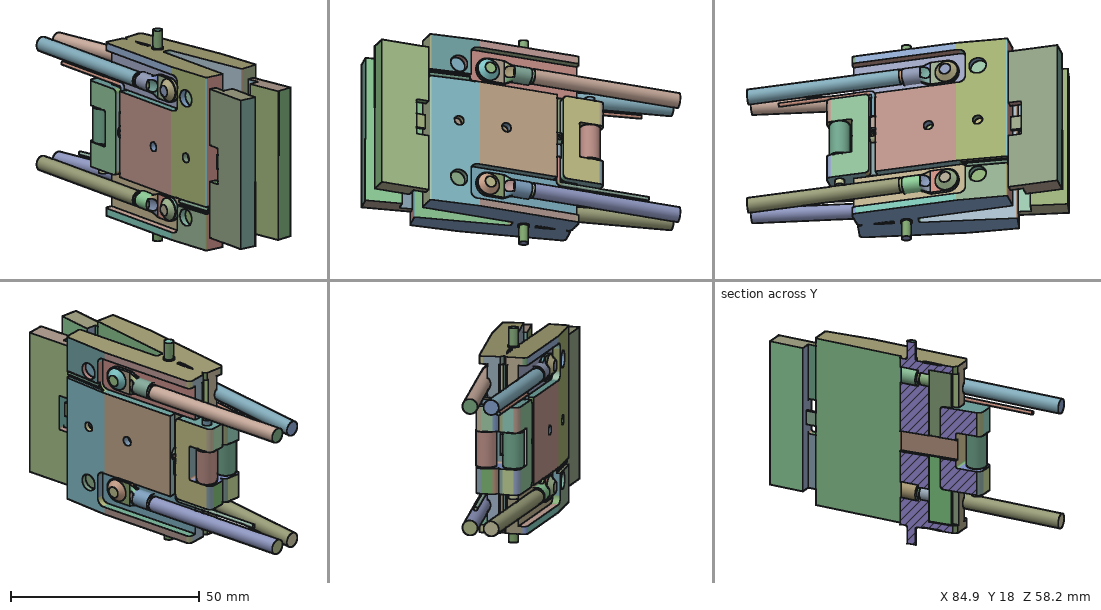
import cadquery as cq
import math

TILT = 5.0
SIN = math.sin(math.radians(TILT))
COS = math.cos(math.radians(TILT))

OVERRUN = 0.85

BODY_HALF_HEIGHT = 24.0
BODY_HALF_THICKNESS = 9.0
BODY_LEFT = -13.1
BODY_RIGHT = 29.5
BEND_X = 15.0
OUTER_V = BEND_X * SIN - BODY_HALF_THICKNESS * COS
INNER_V = -0.85
SLOT_END_X = 3.3
LEFT_CORNER_RADIUS = 1.1
RIGHT_CORNER_RADIUS = 0.3
SLOT_CORNER_RADIUS = 0.5

POCKET_FLOOR_V = -5.35
POCKET_INNER_Z = 11.9
POCKET_OUTER_Z = 21.8
POCKET_RIGHT = 18.2
POCKET_RADIUS = 1.9
POCKET_WIDTH = POCKET_OUTER_Z - POCKET_INNER_Z

CABLE_Z = 16.5
CABLE_V = -6.55
CABLE_RADIUS = 2.0
CABLE_END_X = -42.15
CABLE_RIGHT = 0.2
CRIMP_LEFT = 0.9
CRIMP_RIGHT = 5.9
CRIMP_V = -6.0
CRIMP_RADIUS = 2.3
CORE_RADIUS = 1.9
LUG_LEFT = 8.25
LUG_WIDTH = 6.55
LUG_THICKNESS = 0.9
LUG_SCOOP_RADIUS = 3.2
BOLT_U = 12.7
BOLT_RADIUS = 3.1
BOLT_TIP_RADIUS = 1.5
BOLT_HEIGHT = 1.45

SCREW_HOLE_U = 21.5
SCREW_HOLE_RADIUS = 2.3
MIDDLE_HOLES_U = (8.1, SCREW_HOLE_U)
MIDDLE_HOLE_RADIUS = 1.3
HOLE_FLOOR_V = -5.5

FORK_LEFT = -20.1
FORK_RIGHT = -8.25
FORK_NOSE_RADIUS = 1.45
FORK_CORNER_RADIUS = 1.1
WINDOW_HALF_HEIGHT = 5.0
WINDOW_RIGHT = -12.9
WINDOW_RADIUS = 0.5
ROLLER_U = -16.9
ROLLER_V = -5.2
ROLLER_RADIUS = 2.8
ROLLER_CHAMFER = 0.25
AXLE_RADIUS = 1.3
AXLE_BOTTOM = -13.4

GROOVE_RIGHT = -6.5
GROOVE_FLOOR_V = -5.6
WIRE_V = -6.0
WIRE_Z = 13.1
WIRE_RADIUS = 0.5
WIRE_LEFT = -33.4
WIRE_U = -7.5
WIRE_BEND_RADIUS = 0.85
SLEEVE_RADIUS = 0.81
SLEEVE_TOP = 5.5
SLEEVE_BOTTOM = 1.95
SENSOR_RADIUS = SLEEVE_BOTTOM
SENSOR_V = -5.1
SENSOR_HOLE_RADIUS = 0.7
SENSOR_HOLE_FLOOR_V = -5.95

CHANNEL_TOP = -POCKET_INNER_Z
CHANNEL_BOTTOM = -13.85
CHANNEL_DEPTH = 1.0
CHANNEL_FLOOR_Y = CHANNEL_DEPTH - BODY_HALF_THICKNESS

INSERT_RIGHT = 42.9
INSERT_HEIGHT = 41.2
INSERT_HALF_HEIGHT = INSERT_HEIGHT / 2
INSERT_OUTER_V = -5.3
NECK_INNER_V = -3.3
HEAD_LEFT = 33.0
HEAD_INNER_V = -0.3
INSERT_EMBEDDED = 1.7
INSERT_ROOT = BODY_RIGHT - INSERT_EMBEDDED
TONGUE_OUTER_V = -2.9
TONGUE_INNER_V = -2.2
TONGUE_HALF_HEIGHT = 1.95
CONTACT_TIP_X = 42.8
CONTACT_INNER_Z = 2.9
CONTACT_THICKNESS = 0.25

PIN_RADIUS = 1.3
PIN_SPAN = 58.2
PIN_TOP = PIN_SPAN / 2
COLLAR_RADIUS = 1.5
COLLAR_HEIGHT = 0.25

GAP_HALF_HEIGHT = 21.75
GAP_MOUTH_WIDTH = 2.4
GAP_MOUTH_RIGHT = -11.5
GAP_WIDTH = 0.7
GAP_RIGHT = -5.1
PASSAGE_WIDTH = 1.7
NOTCH_TIP_X = -12.1
NOTCH_HALF_WIDTH = 1.2

ARROW_TIP_X = -8.7
ARROW_HEAD_X = -5.35
ARROW_TAIL_X = -3.4
ARROW_HALF_WIDTH = 0.4
ARROW_DEPTH = 0.25


def tilted(u, v):
    """Part x, y of a point given along and across the front half."""
    return (u * COS + v * SIN, v * COS - u * SIN)


def block(u_range, v_range, z_range):
    """Box between the given limits."""
    (u0, u1), (v0, v1), (z0, z1) = u_range, v_range, z_range
    return cq.Workplane("XY").box(u1 - u0, v1 - v0, z1 - z0, centered=False).translate((u0, v0, z0))


def rod_along(u0, u1, v, z, radius):
    """Cylinder running along u."""
    return cq.Workplane("YZ", origin=(u0, v, z)).circle(radius).extrude(u1 - u0)


def upright(u, v, z0, z1, radius):
    """Cylinder running along z."""
    return cq.Workplane("XY", origin=(u, v, z0)).circle(radius).extrude(z1 - z0)


def outward(u, z, v, length, radius):
    """Cylinder starting at v and running outward."""
    return cq.Workplane("XZ", origin=(u, v, z)).circle(radius).extrude(length)


def turned_over(shape):
    """Copy given a half turn about X."""
    return shape.rotate((0, 0, 0), (1, 0, 0), 180)


def body_half():
    outer_y = -BODY_HALF_THICKNESS
    left_corner = tilted(BODY_LEFT, OUTER_V)
    right_corner = ((BODY_RIGHT + outer_y * SIN) / COS, outer_y)
    tip_corner = tilted(BODY_RIGHT, INNER_V)
    slot_corner = (SLOT_END_X, (INNER_V - SLOT_END_X * SIN) / COS)
    outline = [
        (BODY_LEFT / COS, 0),
        left_corner,
        (BEND_X, outer_y),
        right_corner,
        tip_corner,
        slot_corner,
        (SLOT_END_X, 0),
    ]
    body = cq.Workplane("XY", origin=(0, 0, -BODY_HALF_HEIGHT)).polyline(outline).close()
    body = body.extrude(2 * BODY_HALF_HEIGHT)
    rounded = [
        (left_corner, LEFT_CORNER_RADIUS),
        (right_corner, RIGHT_CORNER_RADIUS),
        (tip_corner, RIGHT_CORNER_RADIUS),
        (slot_corner, SLOT_CORNER_RADIUS),
    ]
    for (x, y), radius in rounded:
        body = body.edges(cq.selectors.NearestToPointSelector((x, y, 0))).fillet(radius)
    return body


def body_cuts():
    beyond = 2 * OUTER_V
    pocket_left = BODY_LEFT - POCKET_WIDTH
    cuts = block(
        (FORK_RIGHT - FORK_CORNER_RADIUS, GROOVE_RIGHT),
        (beyond, GROOVE_FLOOR_V),
        (-POCKET_INNER_Z, POCKET_INNER_Z),
    )
    for side in (-1, 1):
        pocket_z = side * (POCKET_INNER_Z + POCKET_OUTER_Z) / 2
        pocket = block(
            (pocket_left, POCKET_RIGHT),
            (beyond, POCKET_FLOOR_V),
            (pocket_z - POCKET_WIDTH / 2, pocket_z + POCKET_WIDTH / 2),
        )
        cuts = cuts.union(pocket.edges("|Y and >X").fillet(POCKET_RADIUS))
        cuts = cuts.union(outward(SCREW_HOLE_U, side * CABLE_Z, HOLE_FLOOR_V, -OUTER_V, SCREW_HOLE_RADIUS))
    for u in MIDDLE_HOLES_U:
        cuts = cuts.union(outward(u, 0, HOLE_FLOOR_V, -OUTER_V, MIDDLE_HOLE_RADIUS))
    return cuts


def cable(z):
    """Cable, crimp, lug and bolt at height z."""
    lug_outer_v = POCKET_FLOOR_V - LUG_THICKNESS
    lug_middle_v = POCKET_FLOOR_V - LUG_THICKNESS / 2
    wire = rod_along(CABLE_END_X - CABLE_RADIUS, CABLE_RIGHT, CABLE_V, z, CABLE_RADIUS)
    core = rod_along(CABLE_RIGHT, CRIMP_LEFT, CABLE_V, z, CORE_RADIUS)
    crimp = rod_along(CRIMP_LEFT, CRIMP_RIGHT, CRIMP_V, z, CRIMP_RADIUS)
    flare = (
        cq.Workplane("YZ", origin=(CRIMP_RIGHT, CRIMP_V, z))
        .circle(CRIMP_RADIUS)
        .workplane(offset=LUG_LEFT - CRIMP_RIGHT)
        .center(lug_middle_v - CRIMP_V, 0)
        .rect(LUG_THICKNESS, LUG_WIDTH)
        .loft()
    )
    scoop_center = (LUG_LEFT, lug_outer_v - LUG_SCOOP_RADIUS, z)
    scoop = cq.Workplane("XY", origin=scoop_center).sphere(LUG_SCOOP_RADIUS)
    flare = flare.cut(scoop)
    lug = block(
        (LUG_LEFT, BOLT_U), (lug_outer_v, POCKET_FLOOR_V), (z - LUG_WIDTH / 2, z + LUG_WIDTH / 2)
    ).union(outward(BOLT_U, z, POCKET_FLOOR_V, LUG_THICKNESS, LUG_WIDTH / 2))
    bolt = (
        cq.Workplane("XZ", origin=(BOLT_U, lug_outer_v, z))
        .circle(BOLT_RADIUS)
        .workplane(offset=BOLT_HEIGHT)
        .circle(BOLT_TIP_RADIUS)
        .loft()
    )
    return wire.union(core).union(crimp).union(flare).union(lug).union(bolt)


def fork():
    nose_outer = tilted(FORK_LEFT, OUTER_V)
    nose_inner = (FORK_LEFT / COS, 0)
    outline = [nose_outer, tilted(FORK_RIGHT, OUTER_V), (FORK_RIGHT / COS, 0), nose_inner]
    plate = cq.Workplane("XY", origin=(0, 0, -POCKET_INNER_Z)).polyline(outline).close()
    plate = plate.extrude(2 * POCKET_INNER_Z)
    for x, y in (nose_outer, nose_inner):
        plate = plate.edges(cq.selectors.NearestToPointSelector((x, y, 0))).fillet(FORK_NOSE_RADIUS)
    for side in (-1, 1):
        corner = (*tilted(FORK_RIGHT, OUTER_V / 2), side * POCKET_INNER_Z)
        plate = plate.edges(cq.selectors.NearestToPointSelector(corner)).fillet(FORK_CORNER_RADIUS)
    return plate


def fork_window():
    window = block(
        (2 * FORK_LEFT, WINDOW_RIGHT), (2 * OUTER_V, 0), (-WINDOW_HALF_HEIGHT, WINDOW_HALF_HEIGHT)
    )
    return window.edges("|Y and >X").fillet(WINDOW_RADIUS)


def roller():
    drum = upright(ROLLER_U, ROLLER_V, -WINDOW_HALF_HEIGHT, WINDOW_HALF_HEIGHT, ROLLER_RADIUS)
    drum = drum.faces("|Z").edges().chamfer(ROLLER_CHAMFER)
    return drum.union(upright(ROLLER_U, ROLLER_V, AXLE_BOTTOM, POCKET_INNER_Z, AXLE_RADIUS))


def sensor_wire():
    path = (
        cq.Workplane("XZ", origin=(0, WIRE_V, 0))
        .moveTo(WIRE_LEFT, WIRE_Z)
        .lineTo(WIRE_U - WIRE_BEND_RADIUS, WIRE_Z)
        .radiusArc((WIRE_U, WIRE_Z - WIRE_BEND_RADIUS), WIRE_BEND_RADIUS)
        .lineTo(WIRE_U, SLEEVE_TOP)
    )
    wire = cq.Workplane("YZ", origin=(WIRE_LEFT, WIRE_V, WIRE_Z)).circle(WIRE_RADIUS).sweep(path)
    return wire.union(upright(WIRE_U, WIRE_V, SLEEVE_BOTTOM, SLEEVE_TOP, SLEEVE_RADIUS))


def sensor():
    """Rounded sensor across the groove with a hole in its crest."""
    barrel = rod_along(FORK_RIGHT, GROOVE_RIGHT, SENSOR_V, 0, SENSOR_RADIUS)
    return barrel.cut(outward(WIRE_U, 0, SENSOR_HOLE_FLOOR_V, SENSOR_RADIUS, SENSOR_HOLE_RADIUS))


def side_channel():
    left = POCKET_RIGHT - POCKET_RADIUS
    return block((left, BODY_RIGHT + OVERRUN), (2 * OUTER_V, CHANNEL_FLOOR_Y), (CHANNEL_BOTTOM, CHANNEL_TOP))


def channel_wire():
    left, right = ((u + CHANNEL_FLOOR_Y * SIN) / COS for u in (POCKET_RIGHT, BODY_RIGHT))
    return rod_along(left, right, CHANNEL_FLOOR_Y, (CHANNEL_TOP + CHANNEL_BOTTOM) / 2, WIRE_RADIUS)


def jaw_insert():
    heights = (-INSERT_HALF_HEIGHT, INSERT_HALF_HEIGHT)
    neck = block((INSERT_ROOT, HEAD_LEFT), (INSERT_OUTER_V, NECK_INNER_V), heights)
    window = block(
        (BODY_RIGHT, HEAD_LEFT), (INSERT_OUTER_V, NECK_INNER_V), (-WINDOW_HALF_HEIGHT, WINDOW_HALF_HEIGHT)
    )
    neck = neck.cut(window.edges("|Y and >X").fillet(WINDOW_RADIUS))
    head = block((HEAD_LEFT, INSERT_RIGHT), (INSERT_OUTER_V, HEAD_INNER_V), heights)
    tongue = block(
        (INSERT_ROOT, HEAD_LEFT),
        (TONGUE_OUTER_V, TONGUE_INNER_V),
        (-TONGUE_HALF_HEIGHT, TONGUE_HALF_HEIGHT),
    )
    contact_right = (CONTACT_TIP_X - HEAD_INNER_V * SIN) / COS
    contact = block(
        (HEAD_LEFT, contact_right),
        (HEAD_INNER_V - CONTACT_THICKNESS, HEAD_INNER_V),
        (-INSERT_HALF_HEIGHT, -CONTACT_INNER_Z),
    )
    return neck.union(head).union(tongue).union(contact)


def front_half():
    def tilt(shape):
        return shape.rotate((0, 0, 0), (0, 0, 1), -TILT)

    fittings = roller().union(sensor_wire()).union(sensor()).union(jaw_insert())
    for side in (-1, 1):
        fittings = fittings.union(cable(side * CABLE_Z))
    half = body_half().cut(tilt(body_cuts())).cut(side_channel()).cut(gap_between_halves())
    half = half.union(fork()).cut(tilt(fork_window()))
    half = half.union(tilt(fittings)).union(channel_wire())
    trim = block((2 * CABLE_END_X, CABLE_END_X), (2 * OUTER_V, 0), (-BODY_HALF_HEIGHT, BODY_HALF_HEIGHT))
    return half.cut(trim)


def slit(right, width, half_height):
    """Upright slit on the plane between the halves, open at the cable end."""
    return block((BODY_LEFT - OVERRUN, right), (-width / 2, width / 2), (-half_height, half_height))


def gap_between_halves():
    mouth = slit(GAP_MOUTH_RIGHT, GAP_MOUTH_WIDTH, GAP_HALF_HEIGHT)
    gap = slit(GAP_RIGHT, GAP_WIDTH, GAP_HALF_HEIGHT)
    notch_left = BODY_LEFT - OVERRUN
    notch = (
        cq.Workplane("XY", origin=(0, 0, -BODY_HALF_HEIGHT))
        .polyline([(NOTCH_TIP_X, 0), (notch_left, NOTCH_HALF_WIDTH), (notch_left, -NOTCH_HALF_WIDTH)])
        .close()
        .extrude(2 * BODY_HALF_HEIGHT)
    )
    return mouth.union(gap).union(notch)


def pivot_pin():
    pin = upright(0, 0, GAP_HALF_HEIGHT, PIN_TOP, PIN_RADIUS)
    return pin.union(upright(0, 0, GAP_HALF_HEIGHT, BODY_HALF_HEIGHT + COLLAR_HEIGHT, COLLAR_RADIUS))


def arrow():
    outline = [
        (ARROW_TIP_X, 0),
        (ARROW_HEAD_X, -ARROW_HALF_WIDTH),
        (ARROW_TAIL_X, -ARROW_HALF_WIDTH),
        (ARROW_TAIL_X, ARROW_HALF_WIDTH),
        (ARROW_HEAD_X, ARROW_HALF_WIDTH),
    ]
    bottom = (0, 0, BODY_HALF_HEIGHT - ARROW_DEPTH)
    return cq.Workplane("XY", origin=bottom).polyline(outline).close().extrude(2 * ARROW_DEPTH)


half = front_half()
result = half.union(turned_over(half)).cut(slit(SLOT_END_X + OVERRUN, PASSAGE_WIDTH, CONTACT_INNER_Z))
result = result.cut(arrow()).cut(turned_over(arrow()))
result = result.union(pivot_pin()).union(turned_over(pivot_pin()))